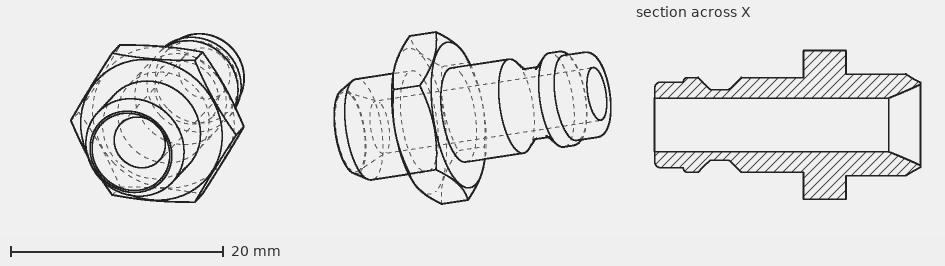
import cadquery as cq
import math

total_length = 25.0
hex_across_flats = 14.0
hex_width = 4.0
hex_face_diameter = 13.85
hex_chamfer_angle = 30.0

stub_radius = 4.8
stub_length = 7.0
stub_chamfer_length = 1.4
stub_end_radius = 4.0

body_radius = 4.48
neck_radius = 3.35
tip_radius = 4.05
tip_round = 0.6

tip_length = 2.7
collar_round = 0.4
collar_length = 1.0
cone_length = body_radius - neck_radius
neck_length = 1.8
neck_fillet = 0.25

bore_radius = 2.5
mouth_radius = 3.8
mouth_depth = 3.0

stub_end = -total_length / 2
tip_end = total_length / 2
hex_start = stub_end + stub_length
hex_end = hex_start + hex_width
collar_front = tip_end - tip_length
collar_full = collar_front - collar_round
collar_back = collar_full - collar_length
neck_front = collar_back - cone_length
neck_back = neck_front - neck_length
body_front = neck_back - cone_length


def revolve(points):
    """Turn a closed (radius, y) outline around the Y axis."""
    return cq.Workplane("XY").polyline(points).close().revolve(360, (0, 0, 0), (0, 1, 0))


def make_stub():
    return revolve([
        (0, stub_end),
        (stub_end_radius, stub_end),
        (stub_radius, stub_end + stub_chamfer_length),
        (stub_radius, hex_start),
        (0, hex_start),
    ])


def make_plug():
    """Stepped plug with a waisted neck, a rounded collar and a rounded tip."""
    tangent_length = neck_fillet * math.tan(math.radians(45 / 2))
    cone_offset = tangent_length * math.sin(math.radians(45))
    outline = (
        cq.Workplane("XY")
        .moveTo(0, hex_start)
        .lineTo(body_radius, hex_start)
        .lineTo(body_radius, body_front)
        .lineTo(neck_radius + cone_offset, neck_back - cone_offset)
        .radiusArc((neck_radius, neck_back + tangent_length), neck_fillet)
        .lineTo(neck_radius, neck_front - tangent_length)
        .radiusArc((neck_radius + cone_offset, neck_front + cone_offset), neck_fillet)
        .lineTo(body_radius, collar_back)
        .lineTo(body_radius, collar_full)
        .radiusArc((body_radius - collar_round, collar_front), -collar_round)
        .lineTo(tip_radius, collar_front)
        .lineTo(tip_radius, tip_end - tip_round)
        .radiusArc((tip_radius - tip_round, tip_end), -tip_round)
        .lineTo(0, tip_end)
        .close()
    )
    return outline.revolve(360, (0, 0, 0), (0, 1, 0))


def make_hexagon():
    """Hexagon with corners on the X axis, chamfered on both faces."""
    corner_radius = hex_across_flats / 2 / math.cos(math.radians(30))
    face_radius = hex_face_diameter / 2
    chamfer_length = (corner_radius - face_radius) * math.tan(math.radians(hex_chamfer_angle))
    prism = (
        cq.Workplane("XZ", origin=(0, hex_end, 0))
        .polygon(6, 2 * corner_radius)
        .extrude(hex_width)
    )
    envelope = revolve([
        (0, hex_start),
        (face_radius, hex_start),
        (corner_radius, hex_start + chamfer_length),
        (corner_radius, hex_end - chamfer_length),
        (face_radius, hex_end),
        (0, hex_end),
    ])
    return prism.intersect(envelope)


def make_bore():
    """Through bore with a conical mouth at the stub end."""
    return revolve([
        (0, stub_end),
        (mouth_radius, stub_end),
        (bore_radius, stub_end + mouth_depth),
        (bore_radius, tip_end),
        (0, tip_end),
    ])


result = make_stub().union(make_hexagon()).union(make_plug()).cut(make_bore())